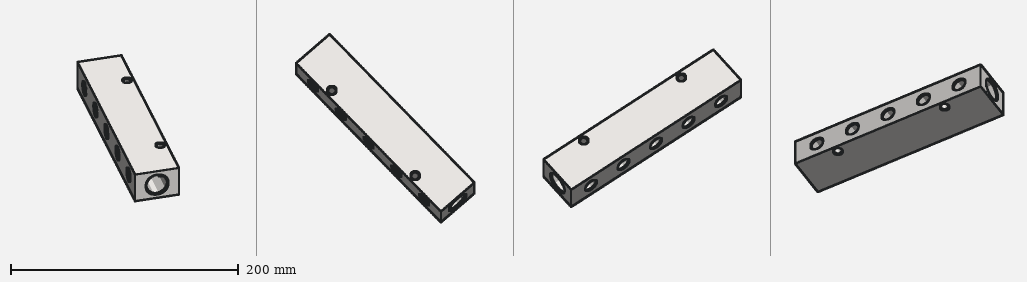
import cadquery as cq

LENGTH = 188.0
DEPTH = 40.0
HEIGHT = 28.0

BORE_DIAMETER = 18.6
BORE_MOUTH_DIAMETER = 21.0

PORT_COUNT = 5
PORT_PITCH = 36.0
PORT_DIAMETER = 11.4
PORT_MOUTH_DIAMETER = 13.2

MOUNT_DIAMETER = 6.6
MOUNT_MOUTH_DIAMETER = 8.5
MOUNT_SPACING = (PORT_COUNT - 2) * PORT_PITCH
MOUNT_EDGE_DISTANCE = 6.0


def chamfered_through_hole(length, diameter, mouth_diameter):
    """Cutter along Z, centred on the origin, with a 45 degree flare at both ends."""
    radius = diameter / 2
    mouth_radius = mouth_diameter / 2
    half_length = length / 2
    chamfer_start = half_length - (mouth_radius - radius)
    profile = (
        cq.Workplane("XZ")
        .moveTo(0, -half_length)
        .lineTo(mouth_radius, -half_length)
        .lineTo(radius, -chamfer_start)
        .lineTo(radius, chamfer_start)
        .lineTo(mouth_radius, half_length)
        .lineTo(0, half_length)
        .close()
    )
    return profile.revolve(360, (0, 0, 0), (0, 1, 0))


def cut_main_bore(body):
    cutter = chamfered_through_hole(LENGTH, BORE_DIAMETER, BORE_MOUTH_DIAMETER)
    return body.cut(cutter.rotate((0, 0, 0), (0, 1, 0), 90))


def cut_ports(body):
    cutter = chamfered_through_hole(DEPTH, PORT_DIAMETER, PORT_MOUTH_DIAMETER)
    cutter = cutter.rotate((0, 0, 0), (1, 0, 0), 90)
    first_x = -PORT_PITCH * (PORT_COUNT - 1) / 2
    for index in range(PORT_COUNT):
        body = body.cut(cutter.translate((first_x + index * PORT_PITCH, 0, 0)))
    return body


def cut_mounting_holes(body):
    cutter = chamfered_through_hole(HEIGHT, MOUNT_DIAMETER, MOUNT_MOUTH_DIAMETER)
    hole_y = DEPTH / 2 - MOUNT_EDGE_DISTANCE
    for hole_x in (-MOUNT_SPACING / 2, MOUNT_SPACING / 2):
        body = body.cut(cutter.translate((hole_x, hole_y, 0)))
    return body


block = cq.Workplane("XY").box(LENGTH, DEPTH, HEIGHT)
result = cut_mounting_holes(cut_ports(cut_main_bore(block)))